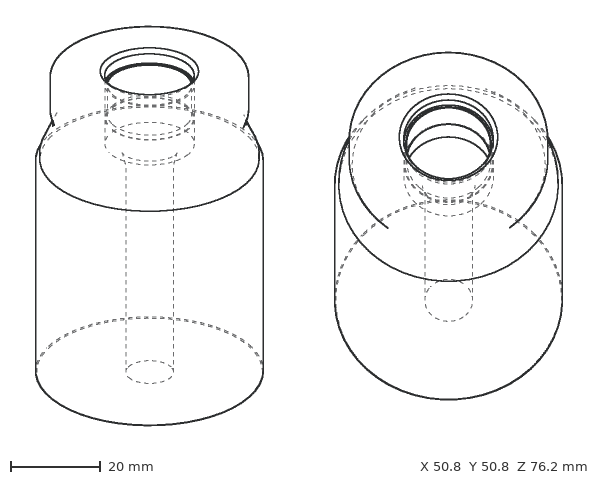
import cadquery as cq
import math

HEIGHT = 76.2
BODY_DIAMETER = 50.8
BODY_RADIUS = BODY_DIAMETER / 2

SHOULDER_HEIGHT = 53.95
SHOULDER_FILLET = 0.45
BOTTOM_CHAMFER = 0.2

COLLAR_RADIUS = 24.45
COLLAR_BLEND = 2.45
NECK_RADIUS = 21.6
NECK_BOTTOM = 62.9
NECK_TOP = 64.3
NECK_BLEND = 1.8
FLANK_ANGLE = 24.5

HEAD_RADIUS = 22.2
HEAD_FILLET = 1.6
HEAD_LOWER_BLEND = 2.05
FLARE_ANGLE = 22.0

BORE_RADIUS = 10.0
BORE_CHAMFER = 1.0
BORE_DEPTH = 18.3
THROAT_ENTRY_RADIUS = 8.9
THROAT_ROUNDING = 3.0
HOLE_RADIUS = 5.3
THROAT_TAPER = 15.0

RING_INNER_RADIUS = 9.4
RING_TOP_DEPTH = 3.35
RING_LENGTH = 8.6
RING_TOP_CHAMFER = 0.15
RING_TAPER_RUN = 0.4
RING_TAPER_HEIGHT = 0.9


def blend(profile, start, radius, from_angle, to_angle):
    """Add an arc that turns the path heading from one angle to another, in degrees.

    Returns the longer profile and the arc's end point.
    """
    side = 1 if to_angle > from_angle else -1

    def on_arc(angle):
        a, a0 = math.radians(angle), math.radians(from_angle)
        return (
            start[0] + side * radius * (math.sin(a) - math.sin(a0)),
            start[1] - side * radius * (math.cos(a) - math.cos(a0)),
        )

    end = on_arc(to_angle)
    return profile.threePointArc(on_arc((from_angle + to_angle) / 2), end), end


def cone_size(radius_change, blend_sum, cone_angle):
    """Radial run and height of a cone left over between the two blends at its ends."""
    angle = math.radians(cone_angle)
    run = radius_change - blend_sum * (1 - math.cos(angle))
    return run, run / math.tan(angle)


def make_blank():
    """Turned outside of the housing, still solid inside."""
    up = 90.0
    flank_heading = up + FLANK_ANGLE
    flare_heading = up - FLARE_ANGLE

    flank_blends = COLLAR_BLEND + NECK_BLEND
    flank_run, flank_height = cone_size(COLLAR_RADIUS - NECK_RADIUS, flank_blends, FLANK_ANGLE)
    flare_run, flare_height = cone_size(
        HEAD_RADIUS - NECK_RADIUS, NECK_BLEND + HEAD_LOWER_BLEND, FLARE_ANGLE
    )
    blends_height = flank_blends * math.sin(math.radians(FLANK_ANGLE))
    collar_end = (COLLAR_RADIUS, NECK_BOTTOM - flank_height - blends_height)
    neck_end = (NECK_RADIUS, NECK_TOP)

    profile = (
        cq.Workplane("XZ")
        .lineTo(BODY_RADIUS, 0)
        .lineTo(BODY_RADIUS, SHOULDER_HEIGHT)
        .lineTo(COLLAR_RADIUS, SHOULDER_HEIGHT)
        .lineTo(*collar_end)
    )
    profile, flank_start = blend(profile, collar_end, COLLAR_BLEND, up, flank_heading)
    flank_end = (flank_start[0] - flank_run, flank_start[1] + flank_height)
    profile = profile.lineTo(*flank_end)
    profile, _ = blend(profile, flank_end, NECK_BLEND, flank_heading, up)
    profile = profile.lineTo(*neck_end)
    profile, flare_start = blend(profile, neck_end, NECK_BLEND, up, flare_heading)
    flare_end = (flare_start[0] + flare_run, flare_start[1] + flare_height)
    profile = profile.lineTo(*flare_end)
    profile, _ = blend(profile, flare_end, HEAD_LOWER_BLEND, flare_heading, up)
    blank = (
        profile.lineTo(HEAD_RADIUS, HEIGHT)
        .lineTo(0, HEIGHT)
        .close()
        .revolve(360, (0, 0, 0), (0, 1, 0))
    )

    blank = blank.faces(">Z").edges().fillet(HEAD_FILLET)
    blank = blank.faces("<Z").edges().chamfer(BOTTOM_CHAMFER)
    shoulder_edge = cq.selectors.RadiusNthSelector(-1)
    return blank.edges(shoulder_edge).edges(">Z").fillet(SHOULDER_FILLET)


def make_bore():
    """Cutter for the chamfered bore, the rounded throat and the tapered hole through the bottom."""
    floor = HEIGHT - BORE_DEPTH
    throat_radius = THROAT_ENTRY_RADIUS - THROAT_ROUNDING
    taper_top = floor - THROAT_ROUNDING
    taper_bottom = taper_top - (throat_radius - HOLE_RADIUS) / math.tan(math.radians(THROAT_TAPER))
    half_turn = THROAT_ROUNDING * math.sqrt(0.5)
    arc_middle = (THROAT_ENTRY_RADIUS - half_turn, floor - THROAT_ROUNDING + half_turn)
    return (
        cq.Workplane("XZ")
        .lineTo(HOLE_RADIUS, 0)
        .lineTo(HOLE_RADIUS, taper_bottom)
        .lineTo(throat_radius, taper_top)
        .threePointArc(arc_middle, (THROAT_ENTRY_RADIUS, floor))
        .lineTo(BORE_RADIUS, floor)
        .lineTo(BORE_RADIUS, HEIGHT - BORE_CHAMFER)
        .lineTo(BORE_RADIUS + BORE_CHAMFER, HEIGHT)
        .lineTo(0, HEIGHT)
        .close()
        .revolve(360, (0, 0, 0), (0, 1, 0))
    )


def make_housing():
    return make_blank().cut(make_bore())


def make_ring():
    """Thin ring filling the bore's diameter, chamfered inside at the top and tapered at the bottom."""
    top = HEIGHT - RING_TOP_DEPTH
    bottom = top - RING_LENGTH
    return (
        cq.Workplane("XZ")
        .moveTo(BORE_RADIUS, bottom)
        .lineTo(BORE_RADIUS, top)
        .lineTo(RING_INNER_RADIUS + RING_TOP_CHAMFER, top)
        .lineTo(RING_INNER_RADIUS, top - RING_TOP_CHAMFER)
        .lineTo(RING_INNER_RADIUS, bottom + RING_TAPER_HEIGHT)
        .lineTo(RING_INNER_RADIUS + RING_TAPER_RUN, bottom)
        .close()
        .revolve(360, (0, 0, 0), (0, 1, 0))
    )


housing = make_housing()
ring = make_ring()

result = cq.Compound.makeCompound([housing.val(), ring.val()])